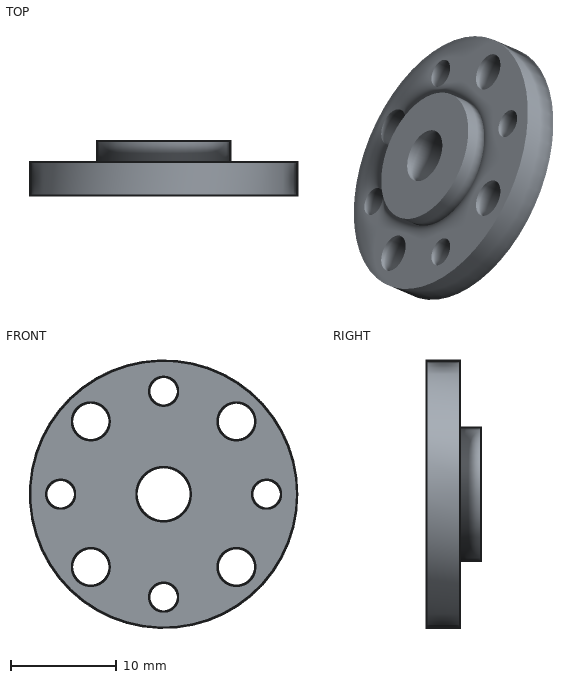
import cadquery as cq

flange_diameter = 25.4
total_depth = 5.2
flange_thickness = 3.2
hub_diameter = flange_diameter / 2
bore_diameter = 5.13
bolt_circle_radius = 9.78
small_hole_diameter = 2.72
large_hole_diameter = 3.55
holes_per_set = 4
large_hole_start_angle = 180 / holes_per_set


def cylinder(diameter, depth):
    """Cylinder along +Y, starting on the flat front face at Y = 0."""
    return cq.Workplane("XZ").circle(diameter / 2).extrude(-depth)


def hole_ring(diameter, start_angle):
    """Cutters for one set of through holes on the bolt circle."""
    return (
        cq.Workplane("XZ")
        .polarArray(bolt_circle_radius, start_angle, 360, holes_per_set)
        .circle(diameter / 2)
        .extrude(-total_depth)
    )


body = cylinder(flange_diameter, flange_thickness).union(cylinder(hub_diameter, total_depth))

result = (
    body.cut(cylinder(bore_diameter, total_depth))
    .cut(hole_ring(small_hole_diameter, 0))
    .cut(hole_ring(large_hole_diameter, large_hole_start_angle))
)